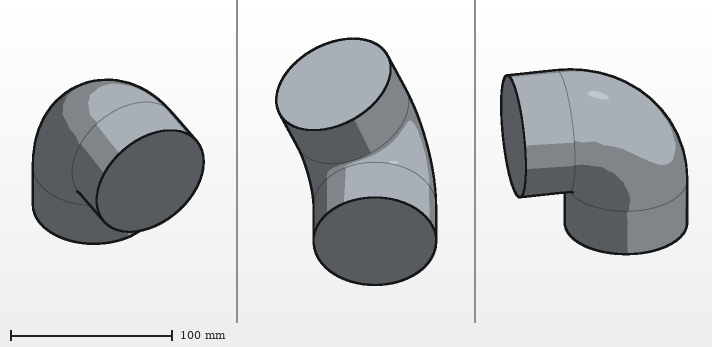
import cadquery as cq

overall_length = 109.0
pipe_diameter = 76.0
end_length = 31.1
bend_angle = 90.0

pipe_radius = pipe_diameter / 2
bend_radius = overall_length - end_length - pipe_radius


def lower_end():
    """Straight vertical pipe end, centred on the Z axis and ending at the bend."""
    return cq.Workplane("XY").circle(pipe_radius).extrude(-end_length)


def bend():
    """Quarter turn from +Z to +X, about a Y-parallel axis at x = bend_radius."""
    return (
        cq.Workplane("XY")
        .circle(pipe_radius)
        .revolve(bend_angle, (bend_radius, 0, 0), (bend_radius, 1, 0))
    )


def upper_end():
    """Straight horizontal pipe end, running along +X from the end of the bend."""
    return (
        cq.Workplane("YZ", origin=(bend_radius, 0, bend_radius))
        .circle(pipe_radius)
        .extrude(end_length)
    )


result = lower_end().union(bend()).union(upper_end())